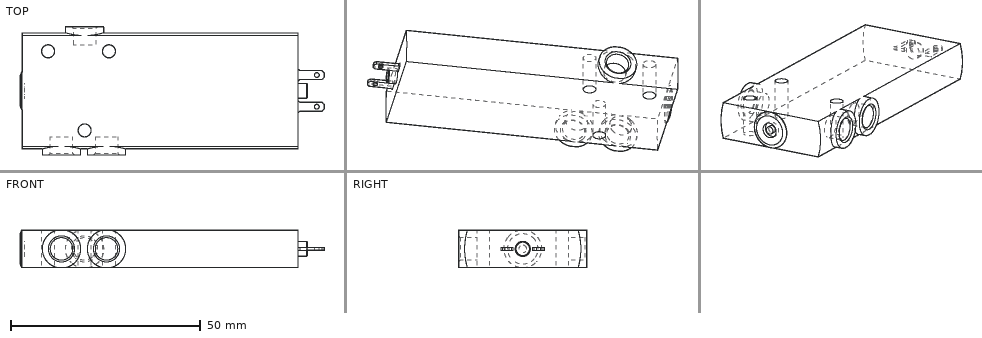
import cadquery as cq

overall_length = 80.5
overall_width = 34.0
height = 10.0
half_height = height / 2

body_start = 0.6
body_joint = 32.5
body_end = 73.6
flat_half_width = 14.65
bulged_half_width = 15.4

port_diameter = 10.15
port_bore = 5.95
port_bore_depth = 4.8
port_chamfer = 0.5
front_ports_x = (10.95, 22.9)
back_port_x = 17.1

mount_diameter = 3.4
mount_y = 10.5
mount_x = back_port_x
mount_left_offset = 9.7
mount_right_offset = 6.4

cap_chamfer_axial = 0.4
cap_face_diameter = 8.05
recess_diameter = 4.0
recess_depth = 1.2
recess_post_diameter = 2.0

pin_diameter = 4.0
pin_length = 2.4
pin_chamfer = 0.25

tab_width = 2.4
tab_thickness = 0.8
tab_y = 4.2
tab_corner = 0.65
tab_root_flare = 0.4
tab_hole = 1.2
tab_hole_x = overall_length - 2.0


def make_body(start, end):
    """Length of body with flat top and bottom and bulged sides."""
    section = (
        cq.Workplane("YZ", origin=(start, 0, 0))
        .moveTo(-flat_half_width, half_height)
        .lineTo(flat_half_width, half_height)
        .threePointArc((bulged_half_width, 0), (flat_half_width, -half_height))
        .lineTo(-flat_half_width, -half_height)
        .threePointArc((-bulged_half_width, 0), (-flat_half_width, half_height))
        .close()
    )
    return section.extrude(end - start)


def x_cylinder(diameter, length, x):
    return cq.Workplane("YZ", origin=(x, 0, 0)).circle(diameter / 2).extrude(length)


def port_plane(x, side):
    """Plane on a port's mouth, facing into the body; side is -1 or +1 along Y."""
    origin = (x, side * overall_width / 2, 0)
    return cq.Workplane(cq.Plane(origin=origin, xDir=(1, 0, 0), normal=(0, -side, 0)))


def port_boss(x, side):
    """Round boss trimmed flush with the top and bottom of the body."""
    length = overall_width / 2 - flat_half_width
    boss = port_plane(x, side).circle(port_diameter / 2).extrude(length)
    return boss.intersect(cq.Workplane().box(2 * overall_length, overall_width, height))


def port_hole(x, side):
    """Blind bore with a chamfered mouth."""
    mouth_radius = port_bore / 2 + port_chamfer
    bore = port_plane(x, side).circle(port_bore / 2).extrude(port_bore_depth)
    mouth = port_plane(x, side).circle(mouth_radius).extrude(port_chamfer, taper=45)
    return bore.union(mouth)


def make_cap():
    """Disc on the end of the valve block with a bevelled outer edge."""
    chamfer_radial = (height - cap_face_diameter) / 2
    cap = x_cylinder(height, body_start, 0)
    return cap.faces("<X").chamfer(cap_chamfer_axial, chamfer_radial)


def cap_recess():
    """Annular recess that leaves a post in its middle."""
    recess = x_cylinder(recess_diameter, recess_depth, 0)
    return recess.cut(x_cylinder(recess_post_diameter, recess_depth, 0))


def make_tab(y):
    """Flat terminal with clipped tip corners, a small flare at the root and an eye."""
    half = tab_width / 2
    root = half + tab_root_flare
    return (
        cq.Workplane("XY", origin=(0, y, -tab_thickness / 2))
        .moveTo(body_end, -root)
        .lineTo(body_end + tab_root_flare, -half)
        .lineTo(overall_length - tab_corner, -half)
        .lineTo(overall_length, -half + tab_corner)
        .lineTo(overall_length, half - tab_corner)
        .lineTo(overall_length - tab_corner, half)
        .lineTo(body_end + tab_root_flare, half)
        .lineTo(body_end, root)
        .close()
        .moveTo(tab_hole_x, 0)
        .circle(tab_hole / 2)
        .extrude(tab_thickness)
    )


ports = [(x, -1) for x in front_ports_x] + [(back_port_x, 1)]

valve = make_body(body_start, body_joint).union(make_cap()).cut(cap_recess())

for x, side in ports:
    valve = valve.union(port_boss(x, side))
for x, side in ports:
    valve = valve.cut(port_hole(x, side))

mount_points = [
    (mount_x - mount_left_offset, mount_y),
    (mount_x + mount_right_offset, mount_y),
    (mount_x, -mount_y),
]
mount_holes = (
    cq.Workplane("XY", origin=(0, 0, -half_height))
    .pushPoints(mount_points)
    .circle(mount_diameter / 2)
    .extrude(height)
)
valve = valve.cut(mount_holes)

solenoid = make_body(body_joint, body_end)
pin = x_cylinder(pin_diameter, pin_length, body_end).faces(">X").chamfer(pin_chamfer)
solenoid = solenoid.union(pin)

for y in (-tab_y, tab_y):
    solenoid = solenoid.union(make_tab(y))

result = valve.union(solenoid, clean=False)